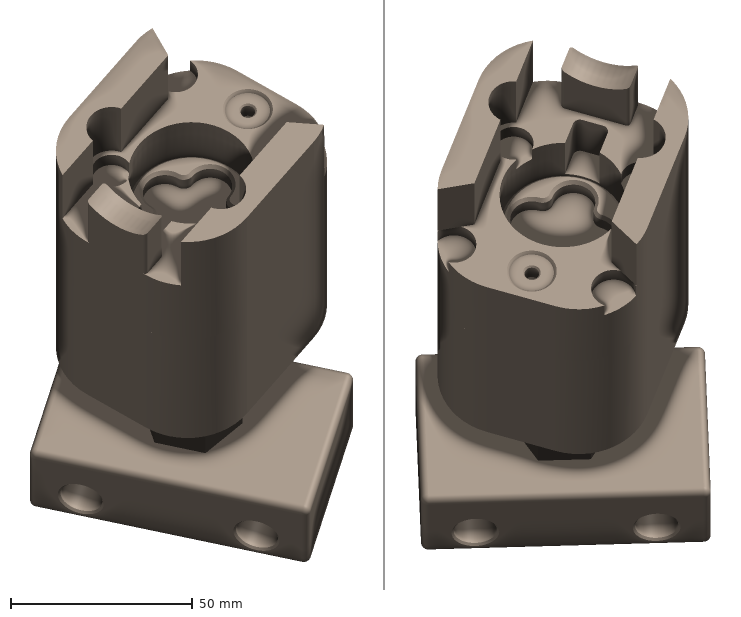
import cadquery as cq
import math

BASE_TOP = 25.0
NUT_TOP = 40.0
HOUSING_BOTTOM = 65.0
HOUSING_SPLIT = 110.0
CHANNEL_FLOOR = 135.0
OVERALL_TOP = 155.0
RECESS_DEPTH = 4.6

BASE_WIDTH = 50.0
BASE_LENGTH = 80.0
BASE_ROUNDING = 2.0
BASE_ANGLE = -30.0
CROSS_HOLE_DIAMETER = 12.0
CROSS_HOLE_SPACING = 50.0
CROSS_HOLE_HEIGHT = 9.0
CROSS_HOLE_CHAMFER = 0.6

NUT_ACROSS_CORNERS = 29.1
ROD_DIAMETER = 18.0
ROD_FILLET = 2.0

HOUSING_ANGLE = -50.6
HOUSING_LENGTH = 72.0
HOUSING_WIDTH = 60.0
HOUSING_CORNER_RADIUS = 20.0

CHANNEL_HALF_WIDTH = 20.0
JAW_END = -17.2
JAW_END_ANGLE = 60.0
INNER_RECESS_DIAMETER = 11.0
OUTER_RECESS_DIAMETER = 12.4
JAW_RELIEF_DIAMETER = 14.0
INNER_RECESS_X = 12.1
INNER_RECESS_Y = 18.5
OUTER_RECESS_X = -25.3
OUTER_RECESS_Y = 23.2
STOP_WIDTH = 20.0
STOP_DEPTH = 8.4
STOP_ROUNDING = 1.0
SADDLE_RADIUS = 16.0
SADDLE_BOTTOM = 149.9
BORE_DIAMETER = 35.0
KEYWAY_WIDTH = 10.0
KEYWAY_END = 25.5
KEYWAY_ROUNDING = 2.0

PISTON_TOP = 120.0
PISTON_CHAMFER = 1.0
LOBE_RADIUS = 6.0
LOBE_OFFSET = 9.0
LOBE_BLEND_RADIUS = 3.0
SOCKET_DEPTH = 5.0
SOCKET_CHAMFER = 1.0

PLUG_X = -27.0
PLUG_DIAMETER = 12.2
PLUG_HOLE_CHAMFER = 0.8
PLUG_BOTTOM = PISTON_TOP
PLUG_SOCKET_DIAMETER = 4.0
PLUG_SOCKET_CHAMFER = 0.5
PLUG_SOCKET_DEPTH = 5.0
DRILL_POINT_ANGLE = 118.0

Z_AXIS = ((0, 0, 0), (0, 0, 1))


def at_height(z):
    return cq.Workplane("XY", origin=(0, 0, z))


def turned(body, angle):
    return body.rotate(*Z_AXIS, angle)


def cylinder(x, y, bottom, top, diameter):
    return at_height(bottom).center(x, y).circle(diameter / 2).extrude(top - bottom)


def make_base():
    block = at_height(0).rect(BASE_WIDTH, BASE_LENGTH).extrude(BASE_TOP).edges().fillet(BASE_ROUNDING)
    side = block.faces(">X").workplane(origin=(0, 0, CROSS_HOLE_HEIGHT))
    block = side.rarray(CROSS_HOLE_SPACING, 1.5, 2, 1).hole(CROSS_HOLE_DIAMETER)
    block = block.edges("%CIRCLE").edges("<X or >X").chamfer(CROSS_HOLE_CHAMFER)
    return turned(block, BASE_ANGLE)


def make_stud():
    nut = at_height(BASE_TOP).polygon(6, NUT_ACROSS_CORNERS).extrude(NUT_TOP - BASE_TOP)
    stud = nut.union(cylinder(0, 0, NUT_TOP, HOUSING_SPLIT, ROD_DIAMETER))
    return stud.edges("%CIRCLE").edges("<Z").fillet(ROD_FILLET)


def housing_block(bottom, top):
    block = at_height(bottom).rect(HOUSING_LENGTH, HOUSING_WIDTH).extrude(top - bottom)
    return block.edges("|Z").fillet(HOUSING_CORNER_RADIUS)


def make_lower_housing():
    block = housing_block(HOUSING_BOTTOM, HOUSING_SPLIT)
    block = block.cut(cylinder(0, 0, HOUSING_BOTTOM, HOUSING_SPLIT, ROD_DIAMETER))
    return turned(block, HOUSING_ANGLE)


def channel_space():
    """Space between the two jaws; it widens past the slanted jaw ends."""
    end = HOUSING_LENGTH
    side = HOUSING_WIDTH
    slant = (side - CHANNEL_HALF_WIDTH) / math.tan(math.radians(JAW_END_ANGLE))
    half = [
        (end, CHANNEL_HALF_WIDTH),
        (JAW_END, CHANNEL_HALF_WIDTH),
        (JAW_END - slant, side),
        (-end, side),
    ]
    mirrored = [(x, -y) for x, y in reversed(half)]
    return at_height(CHANNEL_FLOOR).polyline(half + mirrored).close().extrude(OVERALL_TOP - CHANNEL_FLOOR)


def stop_block():
    """Upright stop at the end of the channel, with a concave saddle on top."""
    height = OVERALL_TOP - CHANNEL_FLOOR
    middle = (HOUSING_LENGTH - STOP_DEPTH) / 2
    stop = at_height(CHANNEL_FLOOR).center(middle, 0).rect(STOP_DEPTH, STOP_WIDTH).extrude(height)
    stop = stop.edges("|Z").fillet(STOP_ROUNDING)
    saddle_axis = cq.Workplane("YZ", origin=(0, 0, SADDLE_BOTTOM + SADDLE_RADIUS))
    return stop.cut(saddle_axis.circle(SADDLE_RADIUS).extrude(HOUSING_LENGTH))


def keyway():
    depth = CHANNEL_FLOOR - PISTON_TOP
    slot = at_height(PISTON_TOP).center(KEYWAY_END / 2, 0).rect(KEYWAY_END, KEYWAY_WIDTH).extrude(depth)
    return slot.edges("|Z and >X").fillet(KEYWAY_ROUNDING)


def make_upper_housing():
    block = housing_block(HOUSING_SPLIT, OVERALL_TOP)
    block = block.cut(channel_space()).union(stop_block())
    block = block.cut(cylinder(0, 0, HOUSING_SPLIT, CHANNEL_FLOOR, BORE_DIAMETER)).cut(keyway())
    recess_floor = CHANNEL_FLOOR - RECESS_DEPTH
    for side in (-1, 1):
        inner = (INNER_RECESS_X, side * INNER_RECESS_Y)
        outer = (OUTER_RECESS_X, side * OUTER_RECESS_Y)
        block = block.cut(cylinder(*inner, CHANNEL_FLOOR, OVERALL_TOP, JAW_RELIEF_DIAMETER))
        block = block.cut(cylinder(*inner, recess_floor, CHANNEL_FLOOR, INNER_RECESS_DIAMETER))
        block = block.cut(cylinder(*outer, recess_floor, CHANNEL_FLOOR, OUTER_RECESS_DIAMETER))
    block = block.cut(cylinder(PLUG_X, 0, PLUG_BOTTOM, CHANNEL_FLOOR, PLUG_DIAMETER))
    mouth = at_height(CHANNEL_FLOOR).center(PLUG_X, 0).circle(PLUG_DIAMETER / 2 + PLUG_HOLE_CHAMFER)
    block = block.cut(mouth.extrude(-2 * PLUG_HOLE_CHAMFER, taper=45))
    return turned(block, HOUSING_ANGLE)


def on_circle(radius, degrees):
    angle = math.radians(degrees)
    return radius * math.cos(angle), radius * math.sin(angle)


def four_lobed_outline(plane):
    """Four round lobes, joined by convex arcs tangent to both neighbours."""
    half_gap = LOBE_OFFSET * math.sin(math.radians(45))
    blend_offset = half_gap + math.sqrt((LOBE_RADIUS + LOBE_BLEND_RADIUS) ** 2 - half_gap**2)
    share = LOBE_RADIUS / (LOBE_RADIUS + LOBE_BLEND_RADIUS)
    blend_x, blend_y = on_circle(blend_offset, 45)
    touch_x = LOBE_OFFSET + share * (blend_x - LOBE_OFFSET)
    touch_y = share * blend_y
    touch_radius = math.hypot(touch_x, touch_y)
    touch_angle = math.degrees(math.atan2(touch_y, touch_x))
    outline = plane.moveTo(touch_x, -touch_y)
    for turn in (0, 90, 180, 270):
        outline = outline.threePointArc(
            on_circle(LOBE_OFFSET + LOBE_RADIUS, turn), on_circle(touch_radius, turn + touch_angle)
        )
        outline = outline.threePointArc(
            on_circle(blend_offset - LOBE_BLEND_RADIUS, turn + 45),
            on_circle(touch_radius, turn + 90 - touch_angle),
        )
    return outline.close()


def make_piston():
    piston = cylinder(0, 0, HOUSING_SPLIT, PISTON_TOP, BORE_DIAMETER).faces(">Z").chamfer(PISTON_CHAMFER)
    socket_floor = PISTON_TOP - SOCKET_DEPTH
    piston = piston.cut(four_lobed_outline(at_height(socket_floor)).extrude(SOCKET_DEPTH))
    rim = four_lobed_outline(at_height(PISTON_TOP)).offset2D(SOCKET_CHAMFER)
    piston = piston.cut(rim.extrude(-SOCKET_CHAMFER, taper=45))
    return turned(piston, HOUSING_ANGLE)


def make_plug():
    top = CHANNEL_FLOOR - PLUG_HOLE_CHAMFER
    radius = PLUG_SOCKET_DIAMETER / 2
    point = radius / math.tan(math.radians(DRILL_POINT_ANGLE / 2))
    profile = [
        (0, PLUG_BOTTOM),
        (PLUG_DIAMETER / 2, PLUG_BOTTOM),
        (PLUG_DIAMETER / 2, top),
        (radius + PLUG_SOCKET_CHAMFER, top),
        (radius, top - PLUG_SOCKET_CHAMFER),
        (radius, top - PLUG_SOCKET_DEPTH),
        (0, top - PLUG_SOCKET_DEPTH - point),
    ]
    plug = cq.Workplane("XZ").polyline(profile).close().revolve(360, (0, 0, 0), (0, 1, 0))
    return turned(plug.translate((PLUG_X, 0, 0)), HOUSING_ANGLE)


base = make_base()
stud = make_stud()
lower_housing = make_lower_housing()
upper_housing = make_upper_housing()
piston = make_piston()
plug = make_plug()

result = cq.Compound.makeCompound(
    [base.val(), stud.val(), lower_housing.val(), upper_housing.val(), piston.val(), plug.val()]
)